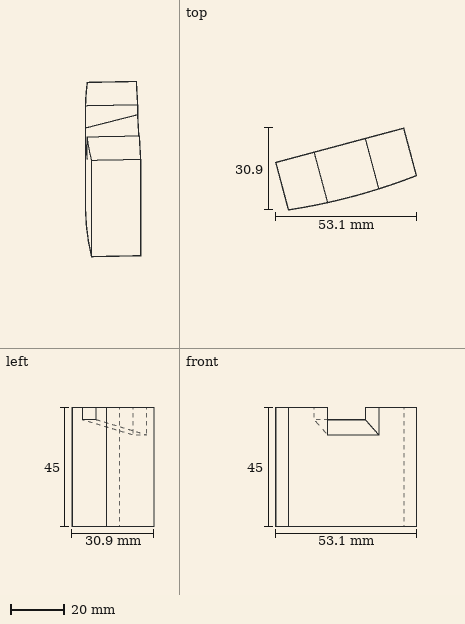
import cadquery as cq
import math

overall_length = 53.1
side_depth = 18.6
height = 45.0
front_bulge = 1.4
turn_angle = 15.0
turn = math.radians(turn_angle)
width = (overall_length - side_depth * math.sin(turn)) / math.cos(turn)

slot_width = 19.95
slot_depth_back = 4.6
slot_depth_side = 10.05

half_width = width / 2


def make_block():
    """Upright block with a flat back at Y = 0 and a gently bowed front."""
    return (
        cq.Workplane("XY")
        .moveTo(-half_width, 0)
        .lineTo(-half_width, -side_depth)
        .threePointArc((0, -side_depth - front_bulge), (half_width, -side_depth))
        .lineTo(half_width, 0)
        .close()
        .extrude(height)
    )


def make_slot():
    """Cutter with a sloping floor, reaching past the bowed front."""
    floor_slope = (slot_depth_side - slot_depth_back) / side_depth
    reach = side_depth + 2 * front_bulge
    slot_depth_front = slot_depth_back + floor_slope * reach
    profile = [
        (0, height),
        (0, height - slot_depth_back),
        (-reach, height - slot_depth_front),
        (-reach, height),
    ]
    return cq.Workplane("YZ").polyline(profile).close().extrude(slot_width / 2, both=True)


result = make_block().cut(make_slot()).rotate((0, 0, 0), (0, 0, 1), turn_angle)